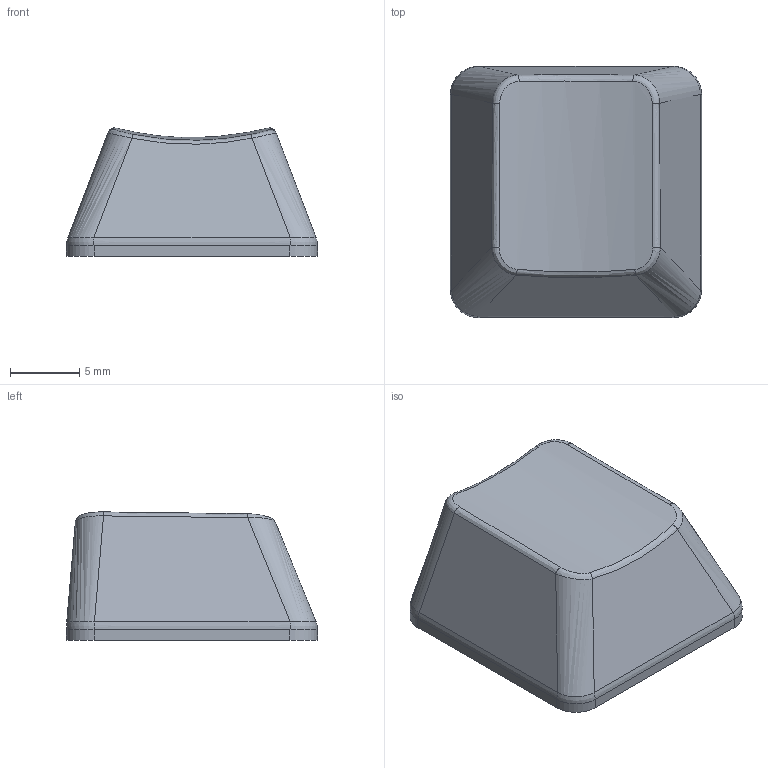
import cadquery as cq
import math

base_size = 18.16
corner_radius = 2.0
front_wall_corner_radius = 1.87

skirt_top = 0.74
bend_top = 1.31

side_lean = 20.9
front_lean = 22.2
back_lean = 4.9

dish_radius = 21.5
dish_floor = 8.45
dish_tilt = 0.8
dish_length = 3 * base_size

rim_fillet = 0.45

blank_height = 10.5


def wall_inset(lean, height):
    """Distance of a wall from its base edge: upright, then an arc, then a straight slope."""
    lean_angle = math.radians(lean)
    bend_radius = (bend_top - skirt_top) / math.sin(lean_angle)
    if height <= skirt_top:
        return 0
    if height <= bend_top:
        angle = math.asin((height - skirt_top) / bend_radius)
        return bend_radius * (1 - math.cos(angle))
    slope_run = (height - bend_top) * math.tan(lean_angle)
    return bend_radius * (1 - math.cos(lean_angle)) + slope_run


def cross_section(height):
    """Horizontal rounded rectangle whose front corners tighten over the bend."""
    side = wall_inset(side_lean, height)
    front = wall_inset(front_lean, height)
    back = wall_inset(back_lean, height)
    centre = cq.Vector(0, (front - back) / 2, height)
    outline = cq.Sketch().rect(base_size - 2 * side, base_size - front - back)
    bend_share = min(max((height - skirt_top) / (bend_top - skirt_top), 0), 1)
    front_radius = corner_radius + bend_share * (front_wall_corner_radius - corner_radius)
    outline.vertices(">Y").fillet(corner_radius).reset()
    outline.vertices("<Y").fillet(front_radius).reset()
    return outline.moved(cq.Location(centre))


def loft_through(*heights):
    """Smooth solid through the cross-sections at the given heights."""
    sections = [cross_section(height) for height in heights]
    return cq.Workplane("XY").placeSketch(*sections).loft()


def make_blank():
    """Skirt, bend and leaning walls, with a flat top."""
    skirt = loft_through(0, skirt_top)
    bend = loft_through(skirt_top, (skirt_top + bend_top) / 2, bend_top)
    walls = loft_through(bend_top, blank_height)
    return skirt.union(bend).union(walls)


def make_dish():
    """Tilted cylinder whose underside forms the finger dish."""
    return (
        cq.Workplane("XZ")
        .circle(dish_radius)
        .extrude(dish_length / 2, both=True)
        .translate((0, 0, dish_radius))
        .rotate((0, 0, 0), (1, 0, 0), dish_tilt)
        .translate((0, 0, dish_floor))
    )


def make_keycap():
    dished = make_blank().cut(make_dish())
    dish_face = dished.faces(cq.selectors.NearestToPointSelector((0, 0, dish_floor)))
    return dish_face.edges().fillet(rim_fillet)


result = make_keycap()